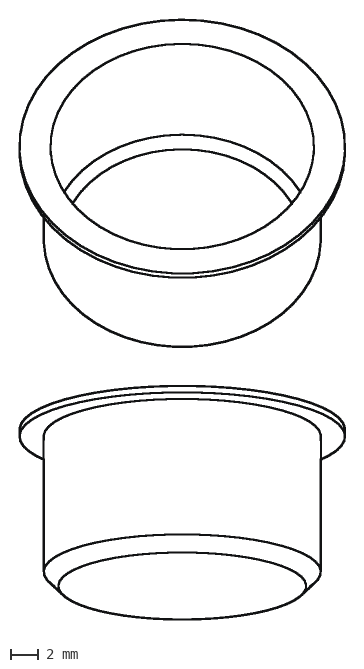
import cadquery as cq

flange_diameter = 23.5
body_diameter = 20.0
bore_diameter = 19.0
total_height = 11.7
flange_thickness = 0.5
floor_thickness = 0.5
outer_chamfer = 1.05
inner_chamfer = 0.75


def chamfered_cylinder(diameter, base_height, chamfer):
    """Upright cylinder reaching the rim, with its bottom edge chamfered."""
    return (
        cq.Workplane("XY")
        .workplane(offset=base_height)
        .circle(diameter / 2)
        .extrude(total_height - base_height)
        .faces("<Z")
        .chamfer(chamfer)
    )


flange = (
    cq.Workplane("XY")
    .workplane(offset=total_height - flange_thickness)
    .circle(flange_diameter / 2)
    .extrude(flange_thickness)
)

body = chamfered_cylinder(body_diameter, 0, outer_chamfer)
cavity = chamfered_cylinder(bore_diameter, floor_thickness, inner_chamfer)

result = body.union(flange).cut(cavity)